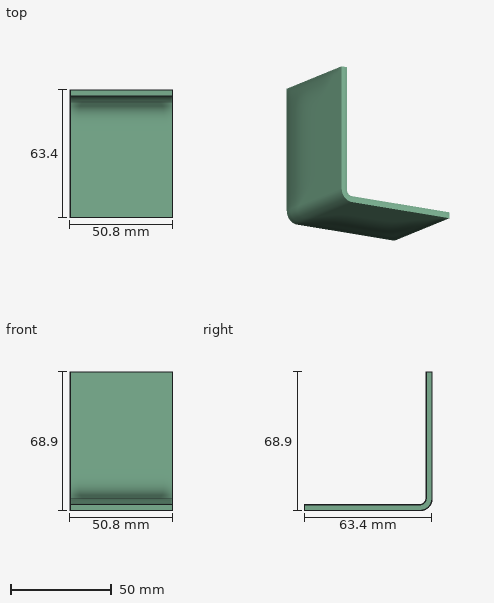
import cadquery as cq

width = 50.8
depth = 63.35
height = 68.94

thickness = 3.048
inner_bend_radius = thickness
outer_bend_radius = inner_bend_radius + thickness


def angle_blank():
    """Sharp-cornered L profile, extruded along X; the outer corner is at +Y, -Z."""
    profile = [
        (0, 0),
        (depth, 0),
        (depth, height),
        (depth - thickness, height),
        (depth - thickness, thickness),
        (0, thickness),
    ]
    return cq.Workplane("YZ").polyline(profile).close().extrude(width)


def round_bend(body):
    """Round the inside and outside of the corner with concentric radii."""
    inner_corner = cq.NearestToPointSelector((width / 2, depth - thickness, thickness))
    outer_corner = cq.NearestToPointSelector((width / 2, depth, 0))
    body = body.edges(inner_corner).fillet(inner_bend_radius)
    return body.edges(outer_corner).fillet(outer_bend_radius)


result = round_bend(angle_blank())